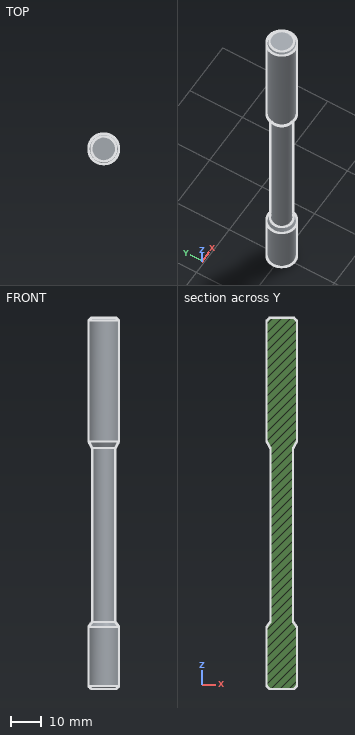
import cadquery as cq

length = 120.0
end_diameter = 10.0
shank_diameter = 7.5
lower_end_length = 20.0
upper_end_length = 40.0
lower_taper_height = 1.7
upper_taper_height = 2.2
tip_chamfer = 1.0

end_radius = end_diameter / 2
shank_radius = shank_diameter / 2
tip_radius = end_radius - tip_chamfer
lower_shoulder = -length / 2 + lower_end_length
upper_shoulder = length / 2 - upper_end_length

profile = [
    (0, -length / 2),
    (tip_radius, -length / 2),
    (end_radius, -length / 2 + tip_chamfer),
    (end_radius, lower_shoulder),
    (shank_radius, lower_shoulder + lower_taper_height),
    (shank_radius, upper_shoulder - upper_taper_height),
    (end_radius, upper_shoulder),
    (end_radius, length / 2 - tip_chamfer),
    (tip_radius, length / 2),
    (0, length / 2),
]

result = cq.Workplane("XZ").polyline(profile).close().revolve(360, (0, 0, 0), (0, 1, 0))